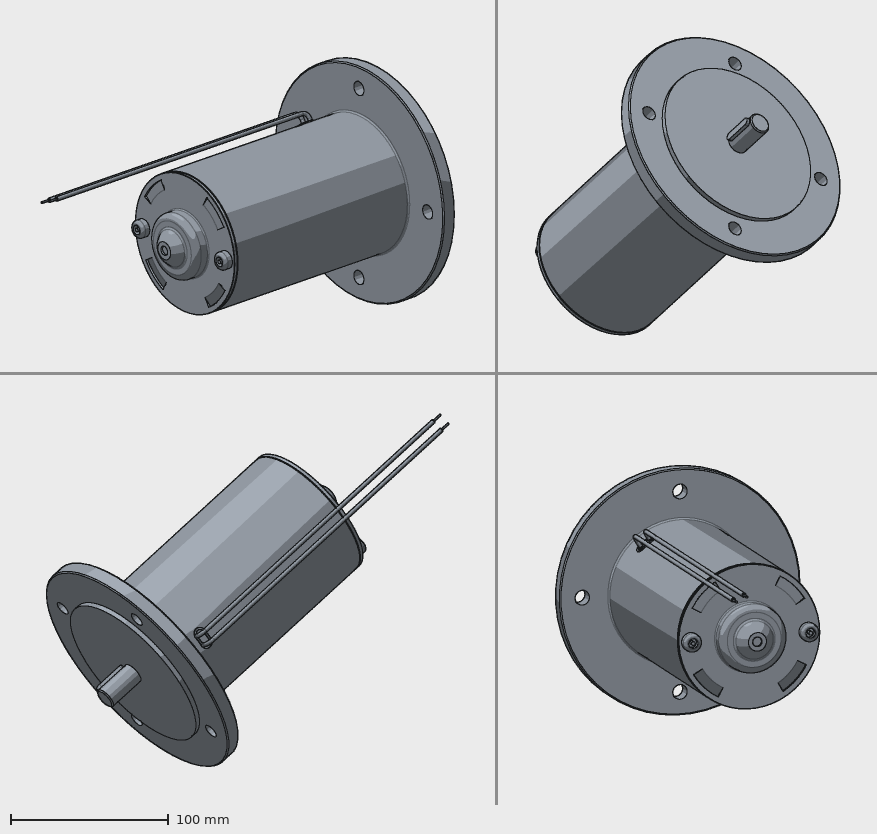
import cadquery as cq
import math

overall_length = 278.7

shaft_length = 26.2
pilot_thickness = 3.3
flange_thickness = 10.0
body_length = 146.3
cap_thickness = 3.0
boss_height = 10.5

shaft_diameter = 14.0
pilot_diameter = 110.0
flange_diameter = 160.0
body_diameter = 94.0
boss_diameter = 44.5
dome_diameter = 28.0

shaft_chamfer = 0.8
flange_chamfer = 0.8
adapter_fillet = 1.0
cap_chamfer = 0.3
boss_round = 4.5
boss_base_fillet = 0.8

pilot_face = overall_length - shaft_length
flange_front = pilot_face - pilot_thickness
flange_rear = flange_front - flange_thickness
can_rear = flange_rear - body_length
cap_rear = can_rear - cap_thickness
boss_rear = cap_rear - boss_height

seam_width = 0.5
seam_depth = 0.3

dome_blend_diameter = 28.0
dome_blend_height = 0.8
dome_center_inset = 5.5
dome_flat_diameter = 12.0
dome_hole_diameter = 6.0
dome_hole_depth = 1.5

key_width = 5.0
key_length = 23.5
key_end_gap = 1.7
key_top = 9.0

bolt_circle_radius = 65.0
bolt_hole_diameter = 9.5
bolt_count = 4

cap_turn = 1.5
screw_radius = 39.0
screw_diameter = 12.0
screw_height = 5.9
screw_round = 2.2
socket_diameter = 6.0
socket_depth = 3.3
socket_pin_diameter = 2.5

vent_inner_radius = 36.5
vent_outer_radius = 43.2
vent_depth = 1.7
vent_span = 30.0
vent_count = 4

wire_diameter = 2.8
strand_diameter = 1.3
strip_length = 6.5
wire_bend_radius = 4.5
wire_leg_y = 221.3
wire_root_radius = 44.5
wire_positions = [(-36.2, 42.0), (-29.3, 45.0)]
wire_leg_angle = 122.0

grommet_angle = 128.0
grommet_y = 218.5
grommet_length = 15.0
grommet_width = 8.0
grommet_projection = 0.8
grommet_rim = 1.5
grommet_recess = 1.0


def rod(diameter, y_rear, y_front, x=0.0, z=0.0):
    """Cylinder parallel to the Y axis between two axial stations."""
    return (
        cq.Workplane("XZ", origin=(x, y_rear, z))
        .circle(diameter / 2)
        .extrude(y_rear - y_front)
    )


def at_polar(radius, angle):
    """X and Z of a point at a polar position about the motor axis."""
    turn = math.radians(angle)
    return radius * math.cos(turn), radius * math.sin(turn)


def make_flange():
    plate = rod(flange_diameter, flange_rear, flange_front).edges().chamfer(flange_chamfer)
    pilot = rod(pilot_diameter, flange_front, pilot_face)
    flange = plate.union(pilot)
    for index in range(bolt_count):
        x, z = at_polar(bolt_circle_radius, index * 360 / bolt_count)
        flange = flange.cut(rod(bolt_hole_diameter, flange_rear, flange_front, x, z))
    return flange


def make_shaft():
    shaft = rod(shaft_diameter, pilot_face, overall_length).faces(">Y").chamfer(shaft_chamfer)
    key_front = overall_length - key_end_gap
    key = (
        cq.Workplane("YZ")
        .center(key_front - key_length / 2, 0)
        .slot2D(key_length, key_width)
        .extrude(key_top)
    )
    return shaft.union(key)


def make_body():
    """Adapter and can with the end cap behind them, as one revolved outline."""
    radius = body_diameter / 2
    seam_radius = radius - seam_depth
    seam_rear = can_rear - seam_width
    return (
        cq.Workplane("XY")
        .moveTo(0, flange_rear)
        .lineTo(radius + adapter_fillet, flange_rear)
        .radiusArc((radius, flange_rear - adapter_fillet), -adapter_fillet)
        .lineTo(radius, can_rear)
        .lineTo(seam_radius, can_rear)
        .lineTo(seam_radius, seam_rear)
        .lineTo(radius, seam_rear)
        .lineTo(radius, cap_rear + cap_chamfer)
        .lineTo(radius - cap_chamfer, cap_rear)
        .lineTo(0, cap_rear)
        .close()
        .revolve(360, (0, 0, 0), (0, 1, 0))
    )


def make_bearing_cover():
    """Rounded boss with a truncated dome blended onto its face."""
    radius = boss_diameter / 2
    dome_radius = dome_diameter / 2
    blend_outer = dome_blend_diameter / 2
    blend_rear = boss_rear - dome_blend_height
    dome_center = boss_rear + dome_center_inset
    flat_radius = dome_flat_diameter / 2
    hole_radius = dome_hole_diameter / 2
    dome_base_radius = math.sqrt(dome_radius**2 - (dome_center - blend_rear) ** 2)
    blend_width = blend_outer - dome_base_radius
    blend_radius = (blend_width**2 + dome_blend_height**2) / (2 * dome_blend_height)
    dome_rear = dome_center - math.sqrt(dome_radius**2 - flat_radius**2)
    return (
        cq.Workplane("XY")
        .moveTo(0, cap_rear)
        .lineTo(radius + boss_base_fillet, cap_rear)
        .radiusArc((radius, cap_rear - boss_base_fillet), -boss_base_fillet)
        .lineTo(radius, boss_rear + boss_round)
        .radiusArc((radius - boss_round, boss_rear), boss_round)
        .lineTo(blend_outer, boss_rear)
        .radiusArc((dome_base_radius, blend_rear), -blend_radius)
        .radiusArc((flat_radius, dome_rear), dome_radius)
        .lineTo(hole_radius, dome_rear)
        .lineTo(hole_radius, dome_rear + dome_hole_depth)
        .lineTo(0, dome_rear + dome_hole_depth)
        .close()
        .revolve(360, (0, 0, 0), (0, 1, 0))
    )


def make_screw(angle):
    x, z = at_polar(screw_radius, angle)
    head_rear = cap_rear - screw_height
    socket_floor = head_rear + socket_depth
    head = rod(screw_diameter, head_rear, cap_rear, x, z).faces("<Y").edges().fillet(screw_round)
    socket = rod(socket_diameter, head_rear, socket_floor, x, z)
    pin = rod(socket_pin_diameter, head_rear, socket_floor, x, z)
    return head.cut(socket).union(pin)


def make_vent_pocket(angle):
    """Triangular section swept about the axis and centred on an angle."""
    pocket = (
        cq.Workplane("XY")
        .moveTo(vent_inner_radius, cap_rear)
        .lineTo(vent_outer_radius, cap_rear)
        .lineTo(vent_outer_radius, cap_rear + vent_depth)
        .close()
        .revolve(vent_span, (0, 0, 0), (0, 1, 0))
    )
    return pocket.rotate((0, 0, 0), (0, 1, 0), -angle - vent_span / 2)


def oval_bar(length, width, inner_radius, outer_radius):
    """Oval bar along +X at the grommet station, ending on round faces about the axis."""
    bar = (
        cq.Workplane("YZ")
        .center(grommet_y, 0)
        .slot2D(length, width, 90)
        .extrude(2 * outer_radius)
    )
    bar = bar.intersect(rod(2 * outer_radius, can_rear, flange_rear))
    return bar.cut(rod(2 * inner_radius, can_rear, flange_rear))


def make_grommet():
    outer_radius = body_diameter / 2 + grommet_projection
    recess_floor = outer_radius - grommet_recess
    grommet = oval_bar(grommet_length, grommet_width, wire_root_radius - wire_diameter, outer_radius)
    recess = oval_bar(
        grommet_length - 2 * grommet_rim,
        grommet_width - 2 * grommet_rim,
        recess_floor,
        outer_radius,
    )
    return grommet.cut(recess).rotate((0, 0, 0), (0, 1, 0), -grommet_angle)


def make_wire(x, z):
    """Lead that leaves the can sideways, bends and runs rearwards."""
    leg_x, leg_z = at_polar(1.0, wire_leg_angle)
    leg_length = math.hypot(x, z) - wire_root_radius + wire_bend_radius
    root = cq.Vector(x - leg_length * leg_x, wire_leg_y, z - leg_length * leg_z)
    outward = cq.Vector(leg_x, 0, leg_z)
    rearward = cq.Vector(0, -1, 0)
    corner = cq.Vector(x, wire_leg_y, z)
    bend_start = corner - outward * wire_bend_radius
    bend_end = corner + rearward * wire_bend_radius
    bend_center = bend_start + rearward * wire_bend_radius
    bend_middle = bend_center + (outward - rearward).normalized() * wire_bend_radius
    strip_start = cq.Vector(x, strip_length, z)

    path = cq.Wire.assembleEdges([
        cq.Edge.makeLine(root, bend_start),
        cq.Edge.makeThreePointArc(bend_start, bend_middle, bend_end),
        cq.Edge.makeLine(bend_end, strip_start),
    ])
    insulation = (
        cq.Workplane(cq.Plane(origin=root, normal=outward))
        .circle(wire_diameter / 2)
        .sweep(cq.Workplane(path))
    )
    return insulation.union(rod(strand_diameter, 0, strip_length, x, z))


result = make_body().union(make_flange()).union(make_shaft()).union(make_bearing_cover())
result = result.union(make_grommet())

for screw_angle in (cap_turn, 180 + cap_turn):
    result = result.union(make_screw(screw_angle))

for vent_index in range(vent_count):
    vent_angle = 45 + cap_turn + vent_index * 360 / vent_count
    result = result.cut(make_vent_pocket(vent_angle))

for wire_x, wire_z in wire_positions:
    result = result.union(make_wire(wire_x, wire_z))